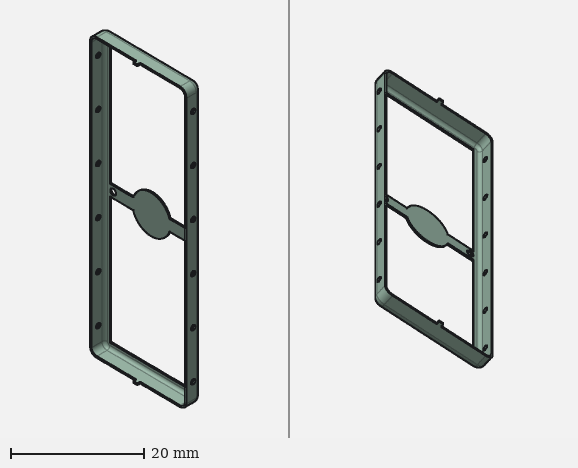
import cadquery as cq

width = 20.6
height = 59.3
depth = 3.0
wall = 0.35
corner_radius = 1.4
outer_edge_radius = 1.0
inner_edge_radius = 0.6

flange_thickness = 0.3
flange_width = 1.5

bar_height = 2.4
bar_overlap = 0.2
disc_diameter = 8.05
bar_hole_diameter = 1.25
bar_hole_spacing = 16.25

side_hole_diameter = 0.95
side_hole_span = 50.0
side_hole_count = 6
side_hole_from_front = 1.4

tab_width = 0.85
tab_length = 0.6

front_plane = cq.Workplane("XZ")


def rounded_block(inset, block_depth, back_edge_radius):
    """Block inside the frame outline, rounded at its corners and around its back edge."""
    return (
        front_plane.rect(width - 2 * inset, height - 2 * inset)
        .extrude(-block_depth)
        .edges("|Y")
        .fillet(corner_radius - inset)
        .faces(">Y")
        .edges()
        .fillet(back_edge_radius)
    )


def make_frame():
    """Thin shell open at the front, with a square-cornered window through its back."""
    outside = rounded_block(0, depth, outer_edge_radius)
    inside = rounded_block(wall, depth - flange_thickness, inner_edge_radius)
    window = front_plane.rect(width - 2 * flange_width, height - 2 * flange_width).extrude(-depth)
    return outside.cut(inside).cut(window)


def make_crossbar():
    """Bar and disc as thick as the flange, flush with the back; the bar ends overlap the flange."""
    bar_length = width - 2 * flange_width + 2 * bar_overlap
    flange_face = front_plane.workplane(offset=flange_thickness - depth)
    bar = flange_face.rect(bar_length, bar_height).extrude(-flange_thickness)
    disc = flange_face.circle(disc_diameter / 2).extrude(-flange_thickness)
    return bar.union(disc)


def make_bar_holes():
    return (
        front_plane.pushPoints([(-bar_hole_spacing / 2, 0), (bar_hole_spacing / 2, 0)])
        .circle(bar_hole_diameter / 2)
        .extrude(-depth)
    )


def make_side_holes():
    side_hole_pitch = side_hole_span / (side_hole_count - 1)
    return (
        cq.Workplane("YZ")
        .center(side_hole_from_front, 0)
        .rarray(0.6, side_hole_pitch, 1, side_hole_count)
        .circle(side_hole_diameter / 2)
        .extrude(width / 2, both=True)
    )


def make_tab(side):
    """Tab continuing the top (side = 1) or bottom (side = -1) wall forward of the rim."""
    return (
        front_plane.center(0, side * (height - wall) / 2)
        .rect(tab_width, wall)
        .extrude(tab_length)
    )


result = make_frame().union(make_crossbar())
result = result.cut(make_bar_holes()).cut(make_side_holes())
for side in (-1, 1):
    result = result.union(make_tab(side))